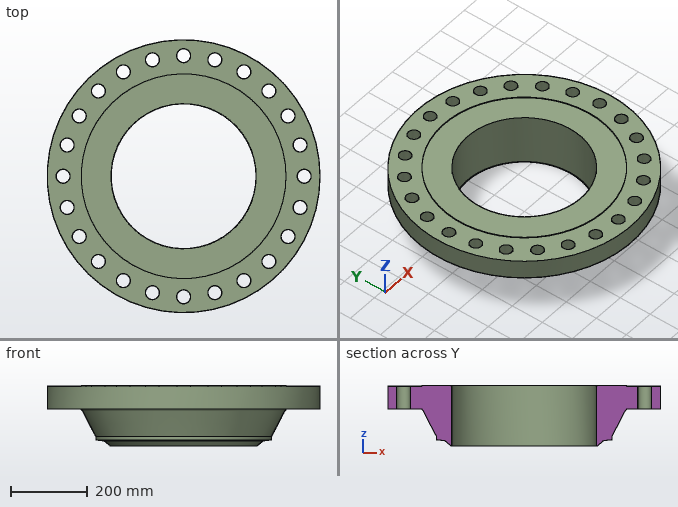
import cadquery as cq

flange_diameter = 711.0
flange_thickness = 60.0
face_diameter = 533.5
face_height = 2.0

total_height = 158.5
root_diameter = 536.0
hub_base_diameter = 526.0
root_cone_height = 6.0
hub_end_diameter = 458.0
lip_height = 8.5
bevel_outer_diameter = 414.0
bevel_inner_diameter = 381.0
bevel_height = 13.5
lip_slope_height = 3.0
bore_diameter = 377.0

bolt_count = 24
bolt_circle_diameter = 628.0
bolt_hole_diameter = 35.5

flange_top = total_height - face_height
flange_bottom = flange_top - flange_thickness
taper_top = flange_bottom - root_cone_height
lip_bottom = bevel_height + lip_slope_height
lip_top = lip_bottom + lip_height


def revolved_body():
    """Half section of the welding-neck flange, turned about Z."""
    bore_radius = bore_diameter / 2
    section = [
        (bore_radius, 0),
        (bevel_inner_diameter / 2, 0),
        (bevel_outer_diameter / 2, bevel_height),
        (hub_end_diameter / 2, lip_bottom),
        (hub_end_diameter / 2, lip_top),
        (hub_base_diameter / 2, taper_top),
        (root_diameter / 2, flange_bottom),
        (flange_diameter / 2, flange_bottom),
        (flange_diameter / 2, flange_top),
        (face_diameter / 2, flange_top),
        (face_diameter / 2, total_height),
        (bore_radius, total_height),
    ]
    return cq.Workplane("XZ").polyline(section).close().revolve(360, (0, 0, 0), (0, 1, 0))


def bolt_holes():
    """Ring of through-hole cutters in the flange rim."""
    return (
        cq.Workplane("XY")
        .workplane(offset=flange_bottom)
        .polarArray(bolt_circle_diameter / 2, 0, 360, bolt_count)
        .circle(bolt_hole_diameter / 2)
        .extrude(flange_thickness)
    )


result = revolved_body().cut(bolt_holes())